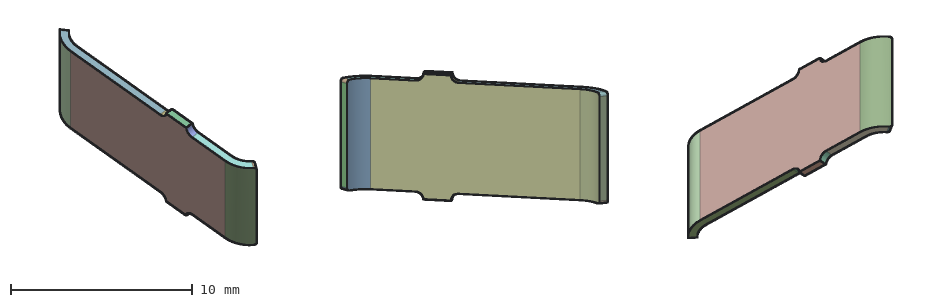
import cadquery as cq
import math

length = 14.99
body_height = 6.35
overall_height = 7.24
thickness = 0.51
bend_radius = 1.98
bend_angle = 55.0
corner_radius = 0.2
tab_left = 1.38
tab_right = 2.92
tab_edge_chamfer = 0.05

root_fillet = (overall_height - body_height) / 2
inner_radius = bend_radius - thickness
full_angle = math.radians(bend_angle)
flat_half = length / 2 - bend_radius * math.sin(full_angle)
depth = bend_radius - inner_radius * math.cos(full_angle)
front_y = -depth / 2
back_y = front_y + thickness


def bend_point(side, radius, angle):
    """Point on a curled end; side is -1 for left and +1 for right."""
    x = side * (flat_half + radius * math.sin(angle))
    y = front_y + bend_radius - radius * math.cos(angle)
    return (x, y)


def curled_plate():
    """Flat strip with both ends curled backward and rounded corners."""
    half_angle = full_angle / 2
    plate = (
        cq.Workplane("XY", origin=(0, 0, -body_height / 2))
        .moveTo(-flat_half, front_y)
        .lineTo(flat_half, front_y)
        .threePointArc(bend_point(1, bend_radius, half_angle), bend_point(1, bend_radius, full_angle))
        .lineTo(*bend_point(1, inner_radius, full_angle))
        .threePointArc(bend_point(1, inner_radius, half_angle), (flat_half, back_y))
        .lineTo(-flat_half, back_y)
        .threePointArc(bend_point(-1, inner_radius, half_angle), bend_point(-1, inner_radius, full_angle))
        .lineTo(*bend_point(-1, bend_radius, full_angle))
        .threePointArc(bend_point(-1, bend_radius, half_angle), (-flat_half, front_y))
        .close()
        .extrude(body_height)
    )
    for side in (-1, 1):
        across_end = cq.Vector(-side * math.sin(full_angle), math.cos(full_angle), 0)
        plate = plate.edges(cq.selectors.ParallelDirSelector(across_end)).fillet(corner_radius)
    return plate


def upper_tab():
    """Off-centre tab on the upper edge, flared at its root."""
    root_z = body_height / 2
    tip_z = overall_height / 2
    mid_offset = root_fillet * (1 - math.sqrt(0.5))
    left_mid = (tab_left - mid_offset, root_z + mid_offset)
    right_mid = (tab_right + mid_offset, root_z + mid_offset)
    embed_z = root_z - thickness
    tab = (
        cq.Workplane("XZ", origin=(0, back_y, 0))
        .moveTo(tab_left - root_fillet, embed_z)
        .lineTo(tab_left - root_fillet, root_z)
        .threePointArc(left_mid, (tab_left, tip_z))
        .lineTo(tab_right, tip_z)
        .threePointArc(right_mid, (tab_right + root_fillet, root_z))
        .lineTo(tab_right + root_fillet, embed_z)
        .close()
        .extrude(thickness)
    )
    return tab.faces(">Z").edges(">Y").chamfer(tab_edge_chamfer)


tab = upper_tab()
result = curled_plate().union(tab).union(tab.mirror("XY")).clean()